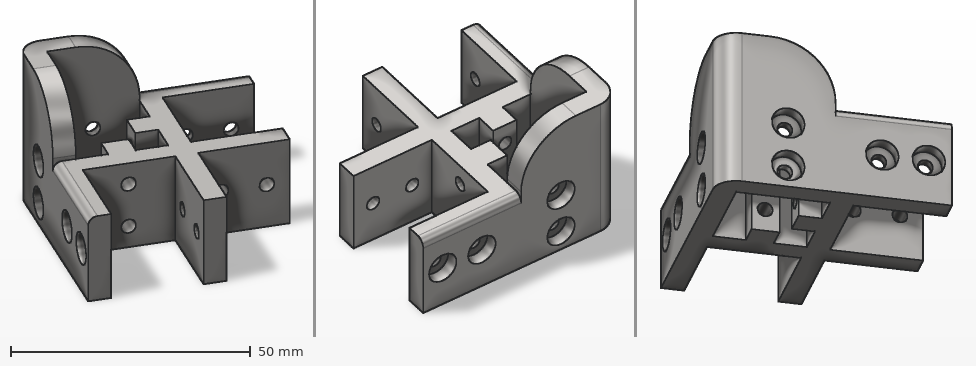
import cadquery as cq

wall = 5.0
tube_width = 20.0
clearance = 0.2
base_height = 20.0
total_height = 35.0
corner_radius = 5.0
rim_radius = 2.0
shoulder_radius = 14.0
key_width = 6.0
key_length = 5.0
screw_diameter = 3.2
head_diameter = 7.0
head_depth = 3.0
screw_spacing = 10.0
wing_screw_offset = 5.0

inner_face = wall + tube_width + clearance
outer_face = inner_face + wall
size = outer_face + tube_width
bay_center = (wall + inner_face) / 2
corner_screw = wall + tube_width / 2
mid_height = base_height / 2
first_wing_screw = outer_face + wing_screw_offset

screw_points = [
    (corner_screw, mid_height - screw_spacing / 2),
    (corner_screw, mid_height + screw_spacing / 2),
    (first_wing_screw, mid_height),
    (first_wing_screw + screw_spacing, mid_height),
]


def box(x_start, y_start, x_length, y_length, height):
    """Box standing on the base plane with its low corner at the given point."""
    return cq.Workplane("XY").box(x_length, y_length, height, centered=False).translate((x_start, y_start, 0))


def swap_axes(body):
    """Mirror a body across the diagonal plane X = Y."""
    return body.rotate((0, 0, 0), (0, 0, 1), 90).mirror("YZ")


def outer_wall():
    """Wall along X at Y = 0, rounded along its top edge beyond the raised corner."""
    corner_part = box(0, 0, inner_face, wall, base_height)
    rounded_part = box(inner_face, 0, size - inner_face, wall, base_height).edges("<Y and >Z").fillet(rim_radius)
    return corner_part.union(rounded_part)


def raised_wall():
    """Upright wall along X with a rounded shoulder at its free end."""
    return box(0, 0, inner_face, wall, total_height).edges(">X and >Z").fillet(shoulder_radius)


def cross_wall():
    """Wall along X behind the corner bay, with a key standing into that bay."""
    key = box(bay_center - key_width / 2, inner_face - key_length, key_width, key_length, base_height)
    return box(wall, inner_face, size - wall, wall, base_height).union(key)


def screw_holes():
    """Through holes along Y, counterbored from the outer face at Y = 0."""
    shafts = cq.Workplane("XZ").pushPoints(screw_points).circle(screw_diameter / 2).extrude(-size)
    heads = cq.Workplane("XZ").pushPoints(screw_points).circle(head_diameter / 2).extrude(-head_depth)
    return shafts.union(heads)


def corner_waste():
    """Material outside the rounded upright corner, over the full height."""
    square = box(0, 0, corner_radius, corner_radius, total_height)
    cylinder = (
        cq.Workplane("XY")
        .center(corner_radius, corner_radius)
        .circle(corner_radius)
        .extrude(total_height)
    )
    return square.cut(cylinder)


x_walls = outer_wall().union(raised_wall()).union(cross_wall())
walls = x_walls.union(swap_axes(x_walls)).clean()
rounded_walls = walls.cut(corner_waste())
x_wall_holes = screw_holes()
result = rounded_walls.cut(x_wall_holes).cut(swap_axes(x_wall_holes))